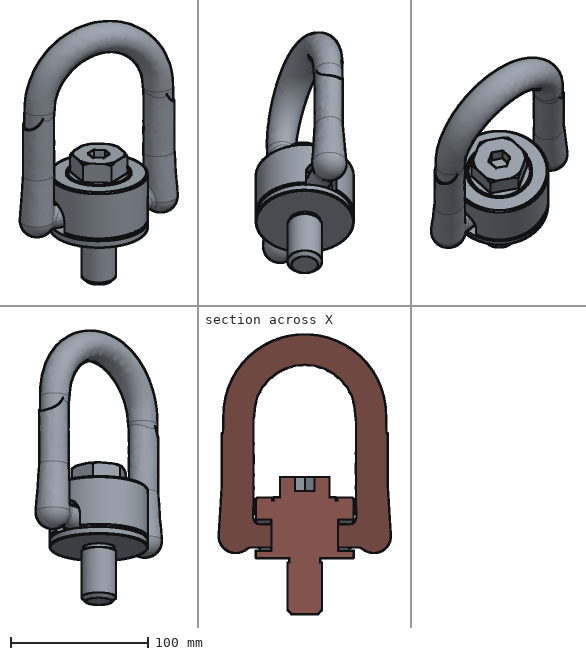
import cadquery as cq
import math

SHANK_R = 12.6
SHANK_TIP_CHAMFER = 3.0
NECK_R = 11.5
NECK_BOTTOM_Z = 37.7

DRUM_DIAMETER = 71.5
DRUM_R = DRUM_DIAMETER / 2
FLANGE_BOTTOM_Z = 40.8
FLANGE_TOP_Z = 46.3
FLANGE_CHAMFER = 0.6
GROOVE_R = 34.6
DRUM_BOTTOM_Z = 48.3
DRUM_TOP_Z = 85.0
DRUM_CHAMFER = 1.2

COLLAR_R = 22.5
COLLAR_GAP = 1.5
COLLAR_GAP_DEPTH = 2.0
COLLAR_TOP_Z = 85.2
HEAD_TOP_Z = 100.0
HEAD_FLATS = 36.0
HEAD_CORNER_CHAMFER_R = 18.7
HEAD_CHAMFER_ANGLE = 35
SOCKET_FLATS = 13.9
SOCKET_DEPTH = 10.2

PIN_Z = 57.0
PIN_R = 8.5
PIN_FILLET = 4.9
SLOT_HALF_WIDTH = 11.8
SLOT_FLOOR_Y = 24.5

RING_HALF_WIDTH = 62.8
RING_TOP_Z = 203.8
LEG_END_R = 12.6
LEG_END_Y = RING_HALF_WIDTH - LEG_END_R

LEG_INNER_Y = 37.0
LEG_OUTER_Y = 60.5
LEG_HALF_WIDTH = 10.2
LEG_TAPER_TOP_Z = 92.7
LEG_Y = (LEG_INNER_Y + LEG_OUTER_Y) / 2
LEG_HALF_DEPTH = (LEG_OUTER_Y - LEG_INNER_Y) / 2

ARCH_OUTER_R = 59.3
ARCH_INNER_R = 36.7
ARCH_Z = RING_TOP_Z - ARCH_OUTER_R
ARCH_R = (ARCH_OUTER_R + ARCH_INNER_R) / 2
ARCH_HALF_DEPTH = (ARCH_OUTER_R - ARCH_INNER_R) / 2
ARCH_FOOT_HALF_WIDTH = 10.4
ARCH_CROWN_HALF_WIDTH = 12.6
ARCH_STEPS = 12

ROOT_Z = 122.3
ROOT_HALF_WIDTH = 9.4
ROOT_HALF_DEPTH = 9.8
ROOT_Y = 50.0
SCOOP_R = 20.0
SCOOP_Y = 68.3
SCOOP_Z = 150.0


def hexagon(flats, bottom_z, top_z):
    """Hexagonal prism on the Z axis with two corners on the X axis."""
    across_corners = flats / math.cos(math.radians(30))
    return cq.Workplane("XY").workplane(offset=bottom_z).polygon(6, across_corners).extrude(top_z - bottom_z)


def make_turned_body():
    """Shank, neck, flange, groove and drum, turned about Z."""
    gap_r = COLLAR_R + COLLAR_GAP
    gap_z = DRUM_TOP_Z - COLLAR_GAP_DEPTH
    profile = [
        (0, 0),
        (SHANK_R - SHANK_TIP_CHAMFER, 0),
        (SHANK_R, SHANK_TIP_CHAMFER),
        (SHANK_R, NECK_BOTTOM_Z),
        (NECK_R, NECK_BOTTOM_Z),
        (NECK_R, FLANGE_BOTTOM_Z),
        (DRUM_R - FLANGE_CHAMFER, FLANGE_BOTTOM_Z),
        (DRUM_R, FLANGE_BOTTOM_Z + FLANGE_CHAMFER),
        (DRUM_R, FLANGE_TOP_Z),
        (GROOVE_R, FLANGE_TOP_Z),
        (GROOVE_R, DRUM_BOTTOM_Z),
        (DRUM_R, DRUM_BOTTOM_Z),
        (DRUM_R, DRUM_TOP_Z - DRUM_CHAMFER),
        (DRUM_R - DRUM_CHAMFER, DRUM_TOP_Z),
        (gap_r, DRUM_TOP_Z),
        (gap_r, gap_z),
        (COLLAR_R, gap_z),
        (COLLAR_R, COLLAR_TOP_Z),
        (0, COLLAR_TOP_Z),
    ]
    return cq.Workplane("XZ").polyline(profile).close().revolve(360, (0, 0), (0, 1))


def make_head():
    """Hexagon head with turned-off top corners and a hexagonal key socket."""
    slope = math.tan(math.radians(HEAD_CHAMFER_ANGLE))
    cone_r = HEAD_CORNER_CHAMFER_R + (HEAD_TOP_Z - COLLAR_TOP_Z) / slope
    cone_profile = [
        (0, COLLAR_TOP_Z),
        (cone_r, COLLAR_TOP_Z),
        (HEAD_CORNER_CHAMFER_R, HEAD_TOP_Z),
        (0, HEAD_TOP_Z),
    ]
    envelope = cq.Workplane("XZ").polyline(cone_profile).close().revolve(360, (0, 0), (0, 1))
    head = hexagon(HEAD_FLATS, COLLAR_TOP_Z, HEAD_TOP_Z).intersect(envelope)
    return head.cut(hexagon(SOCKET_FLATS, HEAD_TOP_Z - SOCKET_DEPTH, HEAD_TOP_Z))


def make_slot():
    """Arched pin slot on the +Y side, open to the outside and down to the flange."""
    return (
        cq.Workplane("XZ", origin=(0, SLOT_FLOOR_Y, 0))
        .moveTo(-SLOT_HALF_WIDTH, FLANGE_TOP_Z)
        .lineTo(-SLOT_HALF_WIDTH, PIN_Z)
        .threePointArc((0, PIN_Z + SLOT_HALF_WIDTH), (SLOT_HALF_WIDTH, PIN_Z))
        .lineTo(SLOT_HALF_WIDTH, FLANGE_TOP_Z)
        .close()
        .extrude(SLOT_FLOOR_Y - DRUM_R)
    )


def make_swivel_body():
    slot = make_slot()
    body = make_turned_body().cut(slot).cut(slot.mirror("XZ"))
    return body.union(make_head())


def bar_section(center_y, center_z, half_width, half_depth, tilt=0.0):
    """Ellipse across a bar, half_width along X and half_depth along Y turned by tilt radians about X.

    Every section starts on its depth axis, so that lofts through them do not twist.
    """
    center = cq.Vector(0, center_y, center_z)
    width_axis = cq.Vector(1, 0, 0)
    depth_axis = cq.Vector(0, math.cos(tilt), math.sin(tilt))
    normal = width_axis.cross(depth_axis)
    if half_depth > half_width:
        edge = cq.Edge.makeEllipse(half_depth, half_width, center, normal, depth_axis)
    else:
        edge = cq.Edge.makeEllipse(half_width, half_depth, center, normal, width_axis, 90, 450)
    return cq.Wire.assembleEdges([edge])


def loft(sections, ruled=False):
    return cq.Workplane(cq.Solid.makeLoft(sections, ruled))


def make_arch():
    """Upper half loop, widest at its crown, with a root running down into each leg."""
    sections = []
    for step in range(ARCH_STEPS + 1):
        angle = math.pi * step / ARCH_STEPS
        half_width = ARCH_FOOT_HALF_WIDTH + (ARCH_CROWN_HALF_WIDTH - ARCH_FOOT_HALF_WIDTH) * math.sin(angle)
        center_y = ARCH_R * math.cos(angle)
        center_z = ARCH_Z + ARCH_R * math.sin(angle)
        sections.append(bar_section(center_y, center_z, half_width, ARCH_HALF_DEPTH, angle))
    arch = loft(sections)
    foot = bar_section(ARCH_R, ARCH_Z, ARCH_FOOT_HALF_WIDTH, ARCH_HALF_DEPTH)
    root_end = bar_section(ROOT_Y, ROOT_Z, ROOT_HALF_WIDTH, ROOT_HALF_DEPTH)
    root = loft([root_end, foot], ruled=True)
    return arch.union(root).union(root.mirror("XZ"))


def make_leg():
    """Leg on the +Y side: straight shaft, flared round end, and trunnion pin blended into it."""
    leg_end = bar_section(LEG_END_Y, PIN_Z, LEG_END_R, LEG_END_R)
    taper_top = bar_section(LEG_Y, LEG_TAPER_TOP_Z, LEG_HALF_WIDTH, LEG_HALF_DEPTH)
    leg_top = bar_section(LEG_Y, ARCH_Z, LEG_HALF_WIDTH, LEG_HALF_DEPTH)
    scoop = (
        cq.Workplane("YZ")
        .center(SCOOP_Y, SCOOP_Z)
        .circle(SCOOP_R)
        .extrude(ARCH_CROWN_HALF_WIDTH, both=True)
    )
    shaft = loft([leg_end, taper_top], ruled=True).union(loft([taper_top, leg_top], ruled=True)).cut(scoop)
    mid_offset = LEG_END_R * math.cos(math.pi / 4)
    round_end = (
        cq.Workplane("YZ", origin=(0, LEG_END_Y, PIN_Z))
        .lineTo(LEG_END_R, 0)
        .threePointArc((mid_offset, -mid_offset), (0, -LEG_END_R))
        .close()
        .revolve(360, (0, 0), (0, 1))
    )
    pin = (
        cq.Workplane("XZ", origin=(0, SLOT_FLOOR_Y, PIN_Z))
        .circle(PIN_R)
        .extrude(SLOT_FLOOR_Y - LEG_END_Y)
    )
    leg = shaft.union(round_end).union(pin)
    pin_root = cq.selectors.BoxSelector(
        (-SLOT_HALF_WIDTH, LEG_END_Y - LEG_END_R, PIN_Z - SLOT_HALF_WIDTH),
        (SLOT_HALF_WIDTH, LEG_END_Y, PIN_Z + SLOT_HALF_WIDTH),
    )
    return leg.edges(pin_root).fillet(PIN_FILLET)


def make_ring():
    leg = make_leg()
    return make_arch().union(leg).union(leg.mirror("XZ"))


swivel_body = make_swivel_body()
ring = make_ring()

result = cq.Compound.makeCompound([swivel_body.solids().val(), ring.solids().val()])